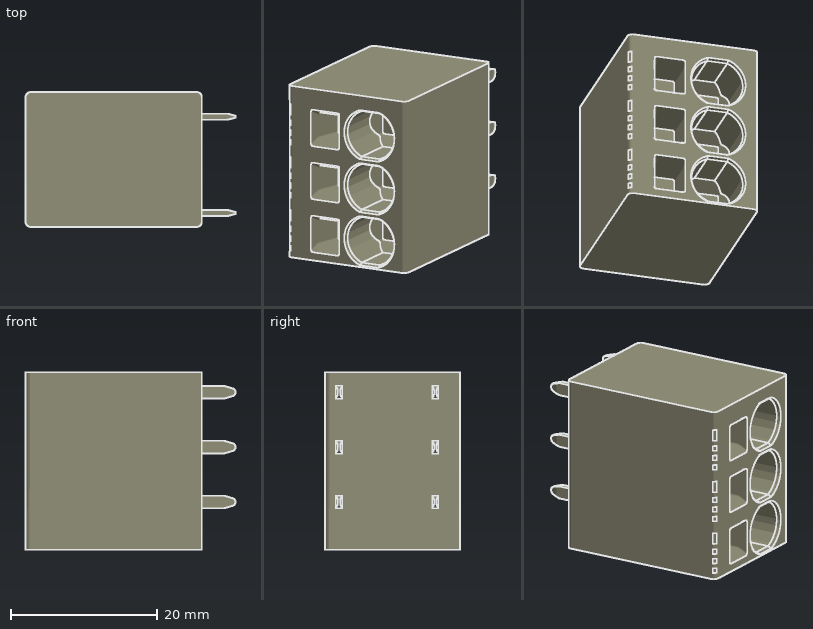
import cadquery as cq
import math


overall_length = 28.75
housing_length = 24.15
housing_width = 18.5
housing_height = 24.3
corner_radius = 0.75

pole_count = 3
pole_pitch = 7.5
pole_heights = [pole_pitch * (index + 0.5) for index in range(pole_count)]

entry_y = 5.75
entry_width = 7.3
entry_height = 6.45
entry_flat_width = 2.88
entry_chamfer_width = 0.25
entry_chamfer_depth = 0.52
entry_depth = 8.62
funnel_floor_width = 5.2
funnel_floor_height = 4.05
funnel_edge_radius = 0.35
funnel_angle = 30.0

slot_near_y = 10.45
slot_mouth_width = 4.4
slot_floor_width = 3.08
slot_mouth_height = 5.18
slot_floor_height = 3.77
slot_lead_in_depth = 1.4
slot_depth = 5.3
slot_edge_radius = 0.35
slot_break_radius = 1.15

pin_rows_y = (1.93, 15.1)
pin_offset_z = 2.8
pin_height = 1.75
pin_thickness = 0.83
pin_length = overall_length - housing_length
pin_straight_length = 3.05
pin_flat_length = 3.56
pin_nose_start = 4.17
pin_nose_height = 1.1
pin_tip_thickness = 0.3

narrow_nick_count = 3
nick_size = 0.7
nick_pitch = 1.38
first_nick_offset = -2.5
wide_nick_size = 1.55
wide_nick_offset = 2.15
nick_reach_y = 0.43
nick_angle = 46.0


def make_housing():
    housing = cq.Workplane("XY").box(housing_length, housing_width, housing_height, centered=False)
    return housing.edges("|Z").fillet(corner_radius)


def entry_outline(plane, rim=0.0):
    """Opening with arcs at both sides and flats above and below, widened by the rim."""
    half_flat = entry_flat_width / 2
    half_width = entry_width / 2 + rim
    half_height = entry_height / 2 + rim
    return (
        plane.moveTo(-half_flat, -half_height)
        .lineTo(half_flat, -half_height)
        .threePointArc((half_width, 0), (half_flat, half_height))
        .lineTo(-half_flat, half_height)
        .threePointArc((-half_width, 0), (-half_flat, -half_height))
        .close()
    )


def make_entry():
    """Bevelled opening, straight bore and rectangular funnel down to the entry floor."""
    funnel_spread = (entry_height - funnel_floor_height) / 2
    funnel_depth = funnel_spread / math.tan(math.radians(funnel_angle))
    bore = entry_outline(cq.Workplane("YZ")).extrude(entry_depth - funnel_depth)
    funnel = (
        cq.Workplane("YZ", origin=(entry_depth, 0, 0))
        .rect(funnel_floor_width, funnel_floor_height)
        .workplane(offset=-funnel_depth)
        .rect(funnel_floor_width + 2 * funnel_spread, entry_height)
        .loft(ruled=True)
        .edges("not (<X or >X)")
        .fillet(funnel_edge_radius)
    )
    funnel = funnel.intersect(entry_outline(cq.Workplane("YZ")).extrude(entry_depth))
    bevel = entry_outline(cq.Workplane("YZ"), entry_chamfer_width).workplane(offset=entry_chamfer_depth)
    bevel = entry_outline(bevel).loft(ruled=True)
    return bore.union(funnel).union(bevel)


def make_slot():
    """Slot with one sloping side wall and a lead-in above and below."""
    half_mouth = slot_mouth_height / 2
    half_floor = slot_floor_height / 2
    plan = (
        cq.Workplane("XY")
        .polyline([(0, 0), (0, slot_mouth_width), (slot_depth, slot_floor_width), (slot_depth, 0)])
        .close()
        .extrude(half_mouth, both=True)
    )
    lead_in = (
        cq.Workplane("XZ")
        .polyline([
            (0, -half_mouth),
            (0, half_mouth),
            (slot_lead_in_depth, half_floor),
            (slot_depth, half_floor),
            (slot_depth, -half_floor),
            (slot_lead_in_depth, -half_floor),
        ])
        .close()
        .extrude(-slot_mouth_width)
        .edges("|Y and (not (<X or >X))")
        .fillet(slot_break_radius)
    )
    return plan.intersect(lead_in).edges("not (<X or >X)").fillet(slot_edge_radius)


def make_pin():
    """Flat pin: round-nosed side outline, thinned towards the tip."""
    half_height = pin_height / 2
    half_nose = pin_nose_height / 2
    half_thickness = pin_thickness / 2
    half_tip = pin_tip_thickness / 2
    side = (
        cq.Workplane("XZ")
        .moveTo(0, -half_height)
        .lineTo(pin_straight_length, -half_height)
        .lineTo(pin_nose_start, -half_nose)
        .threePointArc((pin_length, 0), (pin_nose_start, half_nose))
        .lineTo(pin_straight_length, half_height)
        .lineTo(0, half_height)
        .close()
        .extrude(half_thickness, both=True)
    )
    plan = (
        cq.Workplane("XY")
        .polyline([
            (0, -half_thickness),
            (pin_flat_length, -half_thickness),
            (pin_length, -half_tip),
            (pin_length, half_tip),
            (pin_flat_length, half_thickness),
            (0, half_thickness),
        ])
        .close()
        .extrude(half_height, both=True)
    )
    return side.intersect(plan)


def make_nick(length):
    """Wedge that shaves a flat across the rounded edge, centred on z = 0."""
    edge_y = housing_width - nick_reach_y
    rounding_drop = corner_radius - nick_reach_y
    start_x = corner_radius - math.sqrt(corner_radius**2 - rounding_drop**2)
    end_x = start_x + nick_reach_y * math.tan(math.radians(nick_angle))
    return (
        cq.Workplane("XY")
        .polyline([(start_x, edge_y), (end_x, housing_width), (0, housing_width), (0, edge_y)])
        .close()
        .extrude(length / 2, both=True)
    )


nicks = [(first_nick_offset + index * nick_pitch, nick_size) for index in range(narrow_nick_count)]
nicks.append((wide_nick_offset, wide_nick_size))

entry = make_entry()
slot = make_slot()
pin = make_pin()

result = make_housing()
for height in pole_heights:
    result = result.cut(entry.translate((0, entry_y, height)))
    result = result.cut(slot.translate((0, slot_near_y, height)))
    for offset, length in nicks:
        result = result.cut(make_nick(length).translate((0, 0, height + offset)))
    for row_y in pin_rows_y:
        result = result.union(pin.translate((housing_length, row_y, height + pin_offset_z)))